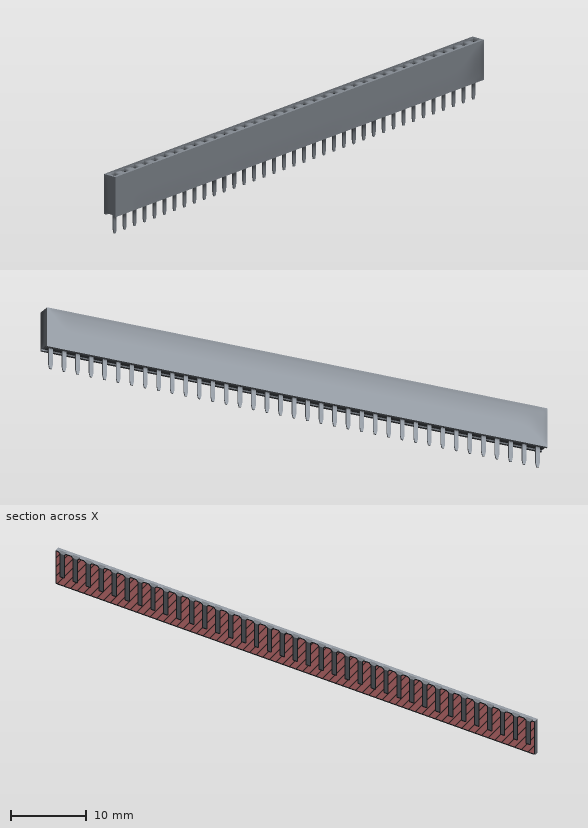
import cadquery as cq

pin_count = 37
pitch = 2.0
body_width = 2.0
body_height = 5.6
body_length = pin_count * pitch

channel_width = 1.2
channel_depth = 0.2

mouth_size = 1.2
throat_size = 0.6
funnel_depth = 0.3
socket_depth = 4.0

contact_thickness = 0.2
blade_width = 0.5
blade_recess = 1.0
tail_width = 0.6
tail_length = 2.7
tip_length = 0.6
tip_width = 0.3

positions = [(0, (i - (pin_count - 1) / 2) * pitch) for i in range(pin_count)]


def make_body():
    """Housing block standing on two rails beside the underside channel."""
    block = cq.Workplane("XY").box(body_width, body_length, body_height, centered=(True, True, False))
    channel = cq.Workplane("XY").box(channel_width, body_length, channel_depth, centered=(True, True, False))
    return block.cut(channel)


def make_opening():
    """Square-mouthed funnel narrowing into a straight blind socket, built at the strip centre."""
    funnel = (
        cq.Workplane("XY", origin=(0, 0, body_height))
        .rect(mouth_size, mouth_size)
        .workplane(offset=-funnel_depth)
        .rect(throat_size, throat_size)
        .loft(combine=True)
    )
    socket = (
        cq.Workplane("XY", origin=(0, 0, body_height - funnel_depth))
        .rect(throat_size, throat_size)
        .extrude(funnel_depth - socket_depth)
    )
    return funnel.union(socket)


def make_contact():
    """Blade standing on the socket floor, with its tail running down through the floor."""
    half_blade = blade_width / 2
    half_tail = tail_width / 2
    half_tip = tip_width / 2
    blade_top_z = body_height - blade_recess
    socket_floor_z = body_height - socket_depth
    shoulder_z = tip_length - tail_length
    outline = [
        (-half_blade, blade_top_z),
        (-half_blade, socket_floor_z),
        (-half_tail, socket_floor_z),
        (-half_tail, shoulder_z),
        (-half_tip, -tail_length),
        (half_tip, -tail_length),
        (half_tail, shoulder_z),
        (half_tail, socket_floor_z),
        (half_blade, socket_floor_z),
        (half_blade, blade_top_z),
    ]
    return cq.Workplane("YZ").polyline(outline).close().extrude(contact_thickness / 2, both=True)


def at_each_position(shape):
    """Copies of a shape at every contact position along the strip."""
    solid = shape.val()
    return cq.Workplane("XY").pushPoints(positions).eachpoint(lambda place: solid.moved(place))


housing = make_body().cut(at_each_position(make_opening()))
result = housing.union(at_each_position(make_contact()))